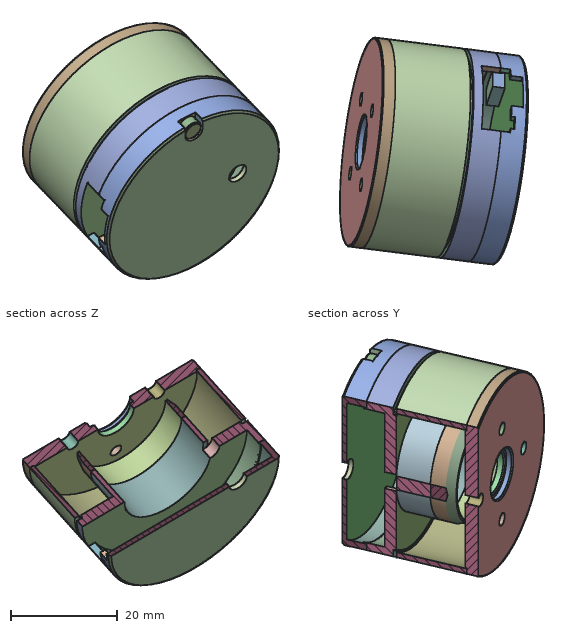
import cadquery as cq

outer_radius = 19.8
total_length = 28.0
front_chamfer = 0.25
rear_chamfer = 0.4
wall = 1.0

plate_rim_end = 2.45
can_end = 16.85
shell_start = 17.5
cavity_start = 19.3
shell_end = 23.0
lip_end = 23.6
cavity_end = 26.95

plate_end = 2.77
seat_radius = 5.0
seat_depth = 1.3
bore_radius = 4.1
bore_chamfer = 0.28
hole_circle_radius = 10.0
hole_diameter = 2.5
hole_count = 4

neck_inner_radius = 10.0
neck_outer_radius = 11.0
sleeve_start = 4.75
sleeve_end = 9.9
sleeve_taper_length = 1.98
sleeve_taper_depth = 0.5

spigot_radius = 18.57
spigot_chamfer = 0.25
cap_inner_radius = 18.6
shell_inner_radius = 18.37
cable_hole_diameter = 3.95

window_half_height = 7.35
window_end = 24.8
large_tab_top = 5.35
large_tab_bottom = -2.1
small_tab_end = 25.55
small_tab_top = -4.35
small_tab_bottom = -6.65

slot_start = 25.62
pin_radius = 1.98
pin_end = 27.7
pin_chamfer = 0.25
pin_center_height = 17.55
pin_block_width = 2 * (pin_radius + wall)
pin_block_bottom = pin_center_height - pin_radius - wall


def cylinder(start, end, radius, y=0, z=0):
    """Cylinder along X between two stations."""
    return cq.Workplane("YZ", origin=(start, y, z)).circle(radius).extrude(end - start)


def tube(start, end, outer, inner):
    """Open ring along X between two stations."""
    return cylinder(start, end, outer).cut(cylinder(start, end, inner))


def box(x_range, y_range, z_range):
    """Box given by its lower and upper limits on each axis."""
    sizes = [high - low for low, high in (x_range, y_range, z_range)]
    corner = (x_range[0], y_range[0], z_range[0])
    return cq.Workplane("XY").box(*sizes, centered=False).translate(corner)


def connector_window():
    """Stepped outline in XZ, cut through the -Y half only."""
    outline = [
        (cavity_start, window_half_height),
        (window_end, window_half_height),
        (window_end, large_tab_top),
        (cavity_end, large_tab_top),
        (cavity_end, large_tab_bottom),
        (window_end, large_tab_bottom),
        (window_end, small_tab_top),
        (small_tab_end, small_tab_top),
        (small_tab_end, small_tab_bottom),
        (window_end, small_tab_bottom),
        (window_end, -window_half_height),
        (cavity_start, -window_half_height),
    ]
    return cq.Workplane("XZ").polyline(outline).close().extrude(outer_radius)


def cable_hole(start, end):
    """Cable passage on the +Y side, in line with one hole of the front plate."""
    return cylinder(start, end, cable_hole_diameter / 2, y=hole_circle_radius)


def make_front_plate():
    """Disc with a register inside the can, a stepped centre bore and a ring of holes."""
    plate = cylinder(0, plate_rim_end, outer_radius).faces("<X").edges().chamfer(front_chamfer)
    plate = plate.union(cylinder(plate_rim_end, plate_end, outer_radius - wall))

    bore_profile = [
        (0, 0),
        (0, seat_radius + bore_chamfer),
        (bore_chamfer, seat_radius),
        (seat_depth, seat_radius),
        (seat_depth, bore_radius + bore_chamfer),
        (seat_depth + bore_chamfer, bore_radius),
        (plate_end, bore_radius),
        (plate_end, 0),
    ]
    bore = cq.Workplane("XY").polyline(bore_profile).close().revolve(360, (0, 0), (1, 0))
    holes = (
        cq.Workplane("YZ")
        .polarArray(hole_circle_radius, 0, 360, hole_count)
        .circle(hole_diameter / 2)
        .extrude(plate_end)
    )
    return plate.cut(bore).cut(holes)


def make_can():
    """Plain outer ring between the front plate and the base."""
    return tube(plate_rim_end, can_end, outer_radius, outer_radius - wall)


def make_stator_sleeve():
    """Ring with a long outer taper at its front end."""
    profile = [
        (sleeve_start, neck_inner_radius),
        (sleeve_start, neck_outer_radius - sleeve_taper_depth),
        (sleeve_start + sleeve_taper_length, neck_outer_radius),
        (sleeve_end, neck_outer_radius),
        (sleeve_end, neck_inner_radius),
    ]
    return cq.Workplane("XY").polyline(profile).close().revolve(360, (0, 0), (1, 0))


def make_base():
    """Neck, spigot and flange, with the front half of the rear housing and its lip."""
    spigot = cylinder(can_end, shell_start, spigot_radius).faces("<X").edges().chamfer(spigot_chamfer)
    base = spigot.union(cylinder(shell_start, shell_end, outer_radius))
    base = base.union(cylinder(shell_end, lip_end, cap_inner_radius))
    base = base.union(cylinder(sleeve_end, can_end, neck_outer_radius))
    base = base.cut(cylinder(cavity_start, lip_end, shell_inner_radius))
    base = base.cut(cylinder(sleeve_end, cavity_start, neck_inner_radius))
    return base.cut(cable_hole(can_end, cavity_start)).cut(connector_window())


def make_pin():
    """Pin along X with a chamfered rear end."""
    pin = cylinder(slot_start, pin_end, pin_radius, z=pin_center_height)
    return pin.faces(">X").edges().chamfer(pin_chamfer)


def make_rear_cap():
    """Rear half of the housing, with the round-bottomed slot that seats the pin."""
    cap = cylinder(shell_end, total_length, outer_radius).faces(">X").edges().chamfer(rear_chamfer)
    cap = cap.cut(cylinder(shell_end, cavity_end, cap_inner_radius))

    block_half = pin_block_width / 2
    block = box(
        (slot_start - wall, cavity_end),
        (-block_half, block_half),
        (pin_block_bottom, outer_radius),
    ).intersect(cylinder(shell_end, cavity_end, cap_inner_radius))
    cap = cap.union(block)

    slot = box(
        (slot_start, total_length),
        (-pin_radius, pin_radius),
        (pin_center_height, outer_radius),
    )
    slot = slot.union(cylinder(slot_start, total_length, pin_radius, z=pin_center_height))
    cap = cap.cut(slot)
    return cap.cut(cable_hole(cavity_end, total_length)).cut(connector_window())


front_plate = make_front_plate()
can = make_can()
stator_sleeve = make_stator_sleeve()
base = make_base()
pin = make_pin()
rear_cap = make_rear_cap()

bodies = [front_plate, can, stator_sleeve, base, pin, rear_cap]
result = cq.Compound.makeCompound([body.solids().val() for body in bodies])